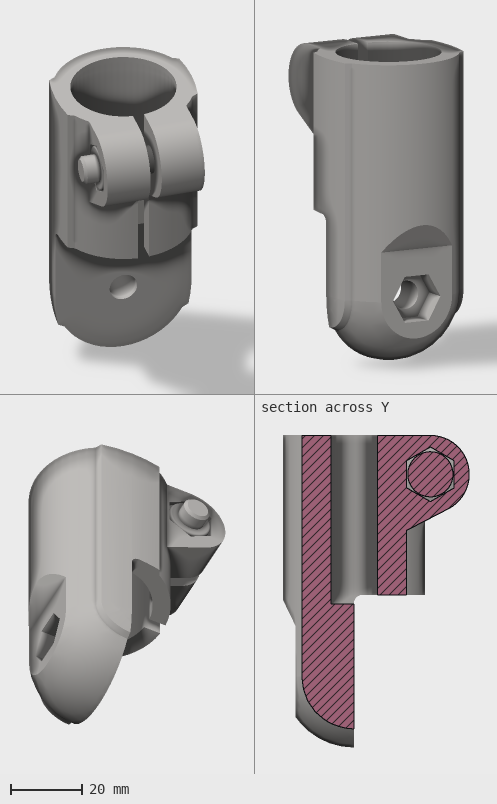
import cadquery as cq
import math

total_height = 88.0
tube_radius = 40.05 / 2
bore_radius = 15.0
top_z = total_height - tube_radius

step_z = 23.0
step_fillet = 2.5
bore_floor_z = step_z - step_fillet

pad_base_half_width = 10.1
pad_top_half_width = 9.15
pad_edge_y = 19.1

flat_x = -16.5
flat_top_z = 14.3
ramp_top_z = 21.65

pivot_hole_diameter = 8.1
pocket_flats = 13.2
pivot_pocket_depth = 6.5

lug_radius = 11.0
lug_x = 21.5
lug_z = top_z - lug_radius
lug_half_width = 14.3
lug_foot_z = 40.75
slit_width = 3.3

bolt_diameter = 8.0
bolt_end_y = -18.8
bolt_chamfer = 0.8
clamp_pocket_depth = 6.5
nut_flats = 13.0
nut_collar_diameter = 12.85
nut_collar_height = 1.1
nut_collar_fillet = 0.6
nut_chamfer_angle = 15.0


def hexagon_diameter(flats):
    """Corner-to-corner size of a hexagon with the given distance across flats."""
    return flats / math.cos(math.radians(30))


def box_between(low, high):
    """Box spanning two opposite corners."""
    size = [b - a for a, b in zip(low, high)]
    return cq.Workplane("XY").box(*size, centered=False).translate(low)


def pad_half_outline():
    """Half of the pad section, from its centre line to its sloped edge on the -X side."""
    base_y = math.sqrt(tube_radius**2 - pad_base_half_width**2)
    crown_rise = tube_radius - pad_edge_y
    crown_radius = (pad_top_half_width**2 + crown_rise**2) / (2 * crown_rise)
    mid_x = pad_top_half_width / 2
    mid_y = tube_radius - crown_radius + math.sqrt(crown_radius**2 - mid_x**2)
    return (
        cq.Workplane("XY")
        .lineTo(-pad_base_half_width, 0)
        .lineTo(-pad_base_half_width, base_y)
        .lineTo(-pad_top_half_width, pad_edge_y)
        .threePointArc((-mid_x, mid_y), (0, tube_radius))
        .close()
    )


def make_side_pad():
    """Shallow crowned pad on +Y: straight along the tube, rounded off around the dome."""
    round_end = pad_half_outline().revolve(360, (0, 0), (0, 1))
    straight_half = pad_half_outline().extrude(top_z)
    return round_end.union(straight_half).union(straight_half.mirror("YZ"))


def make_lugs():
    """Both clamp lugs in one block: rounded outer end and a sloping underside."""
    foot_x = math.sqrt(tube_radius**2 - lug_half_width**2)
    run = lug_x - foot_x
    rise = lug_z - lug_foot_z
    slope = math.atan2(rise, run) - math.asin(lug_radius / math.hypot(run, rise))
    tangent_x = lug_x + lug_radius * math.sin(slope)
    tangent_z = lug_z - lug_radius * math.cos(slope)
    return (
        cq.Workplane("XZ")
        .moveTo(foot_x, lug_foot_z)
        .lineTo(tangent_x, tangent_z)
        .threePointArc((lug_x + lug_radius, lug_z), (lug_x, top_z))
        .lineTo(foot_x, top_z)
        .close()
        .extrude(lug_half_width, both=True)
    )


def make_step_cut():
    """Space removed beside the tongue, with a rounded inner corner."""
    reach = 2 * tube_radius
    block = box_between((0, -reach, -reach), (reach, reach, step_z))
    return block.edges("<X and >Z").fillet(step_fillet)


def make_flat_cut():
    """Space removed outside the flat and its ramp."""
    reach = 2 * tube_radius
    return (
        cq.Workplane("XZ")
        .polyline([
            (flat_x, -reach),
            (flat_x, flat_top_z),
            (-tube_radius, ramp_top_z),
            (-reach, ramp_top_z),
            (-reach, -reach),
        ])
        .close()
        .extrude(reach, both=True)
    )


def make_pivot_cut():
    """Through hole along X with the hexagonal pocket opening on the flat."""
    hole = cq.Workplane("YZ", origin=(flat_x, 0, 0)).circle(pivot_hole_diameter / 2).extrude(-flat_x)
    pocket = (
        cq.Workplane("YZ", origin=(flat_x, 0, 0))
        .polygon(6, hexagon_diameter(pocket_flats))
        .extrude(pivot_pocket_depth)
    )
    return hole.union(pocket)


def upright_hexagon(flats, start_y, depth):
    """Hexagonal prism on the bolt axis, corners up and down, running toward +Y."""
    return (
        cq.Workplane("XZ", origin=(lug_x, start_y, lug_z))
        .transformed(rotate=(0, 0, 90))
        .polygon(6, hexagon_diameter(flats))
        .extrude(-depth)
    )


def make_nut():
    """Hexagonal nut filling the pocket depth: chamfered corners below a rounded collar."""
    face_y = -lug_half_width
    shoulder_y = face_y + nut_collar_height
    hex_height = clamp_pocket_depth - nut_collar_height
    collar_radius = nut_collar_diameter / 2
    prism = upright_hexagon(nut_flats, shoulder_y, hex_height)
    widening = hex_height / math.tan(math.radians(nut_chamfer_angle))
    cone = (
        cq.Workplane("XZ", origin=(lug_x, shoulder_y, lug_z))
        .circle(collar_radius)
        .workplane(offset=-hex_height)
        .circle(collar_radius + widening)
        .loft()
    )
    collar = (
        cq.Workplane("XZ", origin=(lug_x, shoulder_y, lug_z))
        .circle(collar_radius)
        .extrude(nut_collar_height)
        .faces("<Y")
        .edges()
        .fillet(nut_collar_fillet)
    )
    return prism.intersect(cone).union(collar)


def make_bolt():
    """Bolt shank from the far lug face to its chamfered end beyond the near lug."""
    return (
        cq.Workplane("XZ", origin=(lug_x, lug_half_width, lug_z))
        .circle(bolt_diameter / 2)
        .extrude(lug_half_width - bolt_end_y)
        .faces("<Y")
        .chamfer(bolt_chamfer)
    )


tube = cq.Workplane("XY").circle(tube_radius).extrude(top_z)
dome = cq.Workplane("XY").sphere(tube_radius)
bore = cq.Workplane("XY", origin=(0, 0, bore_floor_z)).circle(bore_radius).extrude(top_z)
slit = box_between((0, -slit_width / 2, step_z), (2 * tube_radius, slit_width / 2, top_z))
clamp_pocket = upright_hexagon(pocket_flats, -lug_half_width, clamp_pocket_depth)

side_pad = make_side_pad()
body = tube.union(dome).union(side_pad).union(side_pad.mirror("XZ")).union(make_lugs())
body = body.cut(make_step_cut()).cut(make_flat_cut()).cut(make_pivot_cut())
body = body.cut(bore).cut(slit).cut(clamp_pocket)

result = body.union(make_nut()).union(make_bolt())